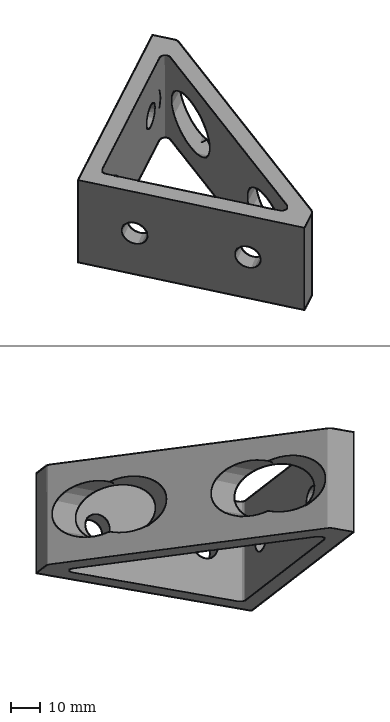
import cadquery as cq
import math

leg = 80.0
height = 36.0
wall = 6.0
tip = 8.8
web = 6.2
tip_radius = 2.4
pocket_radius = 2.0
bolt_diameter = 9.0
access_diameter = 20.0
bolt_places = (leg / 4, 3 * leg / 4)

mid_height = height / 2
outer_sum = leg + tip
inner_sum = outer_sum - web * math.sqrt(2)
pocket_end = inner_sum - wall


def bracket_body():
    """Right-angled bracket with rounded ends of the diagonal face."""
    outline = [(0, 0), (leg, 0), (leg, tip), (tip, leg), (0, leg)]
    body = cq.Workplane("XY").polyline(outline).close().extrude(height)
    for x, y in ((leg, tip), (tip, leg)):
        corner = cq.selectors.NearestToPointSelector((x, y, mid_height))
        body = body.edges("|Z").edges(corner).fillet(tip_radius)
    return body


def triangular_pocket():
    """Through opening between the two legs and the diagonal web."""
    outline = [(wall, wall), (pocket_end, wall), (wall, pocket_end)]
    prism = cq.Workplane("XY").polyline(outline).close().extrude(height)
    return prism.edges("|Z").fillet(pocket_radius)


def bolt_passage(start, direction):
    """Bolt hole through one leg, and the wider access hole through the web behind it."""
    bolt = cq.Solid.makeCylinder(bolt_diameter / 2, leg, start, direction)
    access_start = start + direction * wall
    access = cq.Solid.makeCylinder(access_diameter / 2, leg, access_start, direction)
    return bolt.fuse(access)


result = bracket_body().cut(triangular_pocket())
for place in bolt_places:
    result = result.cut(bolt_passage(cq.Vector(place, 0, mid_height), cq.Vector(0, 1, 0)))
    result = result.cut(bolt_passage(cq.Vector(0, place, mid_height), cq.Vector(1, 0, 0)))